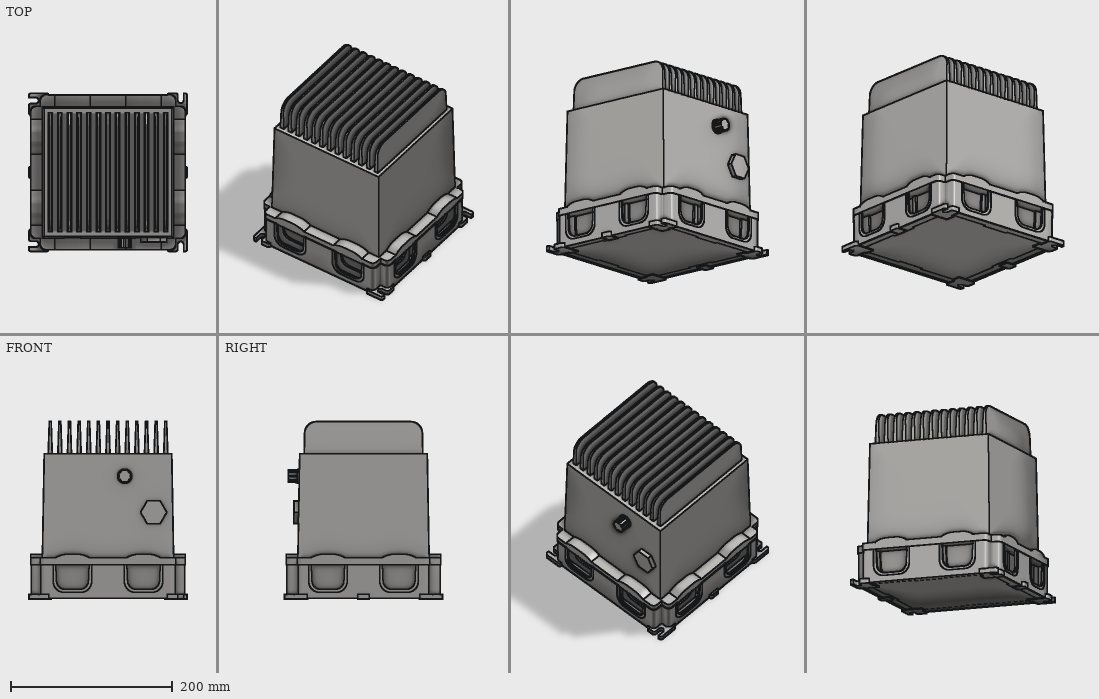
import cadquery as cq
import math

TOTAL_HEIGHT = 220.0
FLOOR_BOTTOM = 1.0
JOINT_LEVEL = 42.5
FLANGE_TOP = 51.0
BUMP_RISE = 4.6
SHELL_TOP = 180.2

SHELL_TOP_WIDTH = 158.2
DRAFT = 1.0
FIN_COUNT = 13
FIN_SPAN = 143.0
FIN_LENGTH = 147.0
FIN_THICKNESS = 5.3
FIN_DRAFT = 2.0
FIN_CORNER_RADIUS = 15.0

FLANGE_HALF = 96.0
Y_ARM_HALF_WIDTH = 84.0
X_ARM_HALF_WIDTH = 81.8
ARM_CORNER_RADIUS = 6.4
BUMP_OFFSET = 44.0
BUMP_HALF_WIDTH = 21.8
CREST_HALF_WIDTH = 5.7

BASE_INSET = 0.9
WALL = 2.9
CORE_HALF = 82.0
FLOOR_THICKNESS = 0.9
CORE_RELIEF_WIDTH = 36.0
CORE_RELIEF_DEPTH = 2.9

RECESS_HALF_WIDTH = 23.8
RECESS_BOTTOM = 8.5
RECESS_RADIUS = 13.2
RECESS_DEPTH = 0.5
OPENING_HALF_WIDTH = 20.7
OPENING_BOTTOM = 12.0
OPENING_RADIUS = 11.0
OPENING_DRAFT = 2.5
CORE_POCKET_DEPTH = 2.9

FOOT_SPAN = 196.0
FOOT_REACH = FOOT_SPAN / 2
FOOT_HEIGHT = 6.0
FOOT_END_X = 73.5
FOOT_END_Y = 69.3
FOOT_END_X_RADIUS = 2.9
FOOT_END_Y_RADIUS = 5.0
FOOT_CORNER_RADIUS = 2.9
X_SLOT_OFFSET = 88.9
Y_SLOT_OFFSET = 90.0
FOOT_SLOT_WIDTH = 7.0
FOOT_SLOT_END = 85.8
PAD_END_X = 70.2
SIDE_TAB_WIDTH = 14.7

KNOB_X = 20.7
KNOB_Z = 152.2
COLLAR_RADIUS = 8.8
COLLAR_LENGTH = 2.2
KNOB_RADIUS = 8.0
KNOB_LENGTH = 13.6
GRIP_GROOVE_COUNT = 8
GRIP_GROOVE_WIDTH = 2.0
GRIP_GROOVE_DEPTH = 0.9
PLUG_X = 56.5
PLUG_Z = 107.5
PLUG_ACROSS_FLATS = 28.2
PLUG_LENGTH = 6.0

SLOPE = math.tan(math.radians(DRAFT))
SHELL_BOTTOM_WIDTH = SHELL_TOP_WIDTH + 2 * (SHELL_TOP - FLANGE_TOP) * SLOPE
BASE_HALF = FLANGE_HALF - BASE_INSET
QUARTER_TURNS = (0, 90, 180, 270)
Z_AXIS = ((0, 0, 0), (0, 0, 1))


def bumpy_bar(half_width):
    """Bar along Y with a flat underside and two round-shouldered bumps along its top."""
    crest = FLANGE_TOP + BUMP_RISE
    run = BUMP_HALF_WIDTH - CREST_HALF_WIDTH
    radius = (run ** 2 + BUMP_RISE ** 2) / (2 * BUMP_RISE)
    half_angle = math.asin(run / radius) / 2
    mid_x = CREST_HALF_WIDTH + radius * math.sin(half_angle)
    mid_z = crest - radius * (1 - math.cos(half_angle))

    outline = cq.Workplane("XZ", origin=(0, FLANGE_HALF, 0)).moveTo(-half_width, JOINT_LEVEL)
    outline = outline.lineTo(-half_width, FLANGE_TOP)
    for centre in (-BUMP_OFFSET, BUMP_OFFSET):
        outline = outline.lineTo(centre - BUMP_HALF_WIDTH, FLANGE_TOP)
        outline = outline.threePointArc((centre - mid_x, mid_z), (centre - CREST_HALF_WIDTH, crest))
        outline = outline.lineTo(centre + CREST_HALF_WIDTH, crest)
        outline = outline.threePointArc((centre + mid_x, mid_z), (centre + BUMP_HALF_WIDTH, FLANGE_TOP))
    outline = outline.lineTo(half_width, FLANGE_TOP).lineTo(half_width, JOINT_LEVEL).close()
    return outline.extrude(2 * FLANGE_HALF).edges("|Z").fillet(ARM_CORNER_RADIUS)


def fin():
    """One fin on the middle of the shell top, thinner and shorter towards its crest."""
    height = TOTAL_HEIGHT - SHELL_TOP
    foot_half = FIN_LENGTH / 2
    crest_half = foot_half - height * SLOPE
    plate = (
        cq.Workplane("YZ", origin=(-FIN_THICKNESS / 2, 0, 0))
        .polyline([
            (-foot_half, SHELL_TOP), (foot_half, SHELL_TOP),
            (crest_half, TOTAL_HEIGHT), (-crest_half, TOTAL_HEIGHT),
        ])
        .close()
        .extrude(FIN_THICKNESS)
        .edges("|X and >Z")
        .fillet(FIN_CORNER_RADIUS)
    )
    foot = FIN_THICKNESS / 2
    crest = foot - height * math.tan(math.radians(FIN_DRAFT))
    wedge = (
        cq.Workplane("XZ", origin=(0, foot_half, 0))
        .polyline([
            (-foot, SHELL_TOP), (foot, SHELL_TOP),
            (crest, TOTAL_HEIGHT), (-crest, TOTAL_HEIGHT),
        ])
        .close()
        .extrude(FIN_LENGTH)
    )
    return plate.intersect(wedge)


def make_cover():
    shell = (
        cq.Workplane("XY", origin=(0, 0, FLANGE_TOP))
        .rect(SHELL_BOTTOM_WIDTH, SHELL_BOTTOM_WIDTH)
        .extrude(SHELL_TOP - FLANGE_TOP, taper=DRAFT)
    )
    body = bumpy_bar(Y_ARM_HALF_WIDTH)
    body = body.union(bumpy_bar(X_ARM_HALF_WIDTH).rotate(*Z_AXIS, 90))
    body = body.union(shell)
    pitch = FIN_SPAN / (FIN_COUNT - 1)
    single_fin = fin()
    for index in range(FIN_COUNT):
        body = body.union(single_fin.translate((index * pitch - FIN_SPAN / 2, 0, 0)))
    return body


def centred_block(size_x, size_y, bottom, top):
    return (
        cq.Workplane("XY", origin=(0, 0, bottom))
        .rect(size_x, size_y)
        .extrude(top - bottom)
    )


def base_arms():
    """Solid cross of the base, a rounded inward offset of the flange outline."""
    radius = ARM_CORNER_RADIUS - BASE_INSET
    y_width = 2 * (Y_ARM_HALF_WIDTH - BASE_INSET)
    x_width = 2 * (X_ARM_HALF_WIDTH - BASE_INSET)
    y_arms = centred_block(y_width, 2 * BASE_HALF, FLOOR_BOTTOM, JOINT_LEVEL)
    x_arms = centred_block(2 * BASE_HALF, x_width, FLOOR_BOTTOM, JOINT_LEVEL)
    cross = y_arms.edges("|Z").fillet(radius).union(x_arms.edges("|Z").fillet(radius))
    for sign_x in (-1, 1):
        for sign_y in (-1, 1):
            notch = (sign_x * y_width / 2, sign_y * x_width / 2, (FLOOR_BOTTOM + JOINT_LEVEL) / 2)
            notch_edge = cross.edges("|Z").edges(cq.selectors.NearestToPointSelector(notch))
            cross = notch_edge.fillet(BASE_INSET)
    return cross


def wall_cavities():
    """Gaps between the core and the outer walls, open at the joint."""
    floor_top = FLOOR_BOTTOM + FLOOR_THICKNESS
    depth = BASE_HALF - WALL - CORE_HALF
    offset = CORE_HALF + depth / 2
    y_length = 2 * (Y_ARM_HALF_WIDTH - BASE_INSET - WALL)
    x_length = 2 * (X_ARM_HALF_WIDTH - BASE_INSET - WALL)
    y_gap = centred_block(y_length, depth, floor_top, JOINT_LEVEL)
    x_gap = centred_block(depth, x_length, floor_top, JOINT_LEVEL)
    gaps = y_gap.translate((0, offset, 0)).union(y_gap.translate((0, -offset, 0)))
    return gaps.union(x_gap.translate((offset, 0, 0))).union(x_gap.translate((-offset, 0, 0)))


def u_cutter(half_width, bottom, radius, draft, depth):
    """U-shaped prism cut into the -Y wall from its outer face, open at the joint."""
    bottom_half = half_width - (JOINT_LEVEL - bottom) * math.tan(math.radians(draft))
    return (
        cq.Workplane("XZ", origin=(0, depth - BASE_HALF, 0))
        .polyline([
            (-half_width, JOINT_LEVEL), (-bottom_half, bottom),
            (bottom_half, bottom), (half_width, JOINT_LEVEL),
        ])
        .close()
        .extrude(depth)
        .edges("|Y and <Z")
        .fillet(radius)
    )


def core_relief():
    """Cutter that sets back the middle of the core's -Y side, inside the wall cavity."""
    block = centred_block(CORE_RELIEF_WIDTH, CORE_RELIEF_DEPTH, FLOOR_BOTTOM + FLOOR_THICKNESS, JOINT_LEVEL)
    return block.translate((0, CORE_RELIEF_DEPTH / 2 - CORE_HALF, 0))


def knockout():
    """Cutter for the recess and for the opening through the wall into the core."""
    opening_depth = BASE_HALF - CORE_HALF + CORE_POCKET_DEPTH
    recess = u_cutter(RECESS_HALF_WIDTH, RECESS_BOTTOM, RECESS_RADIUS, 0, RECESS_DEPTH)
    opening = u_cutter(OPENING_HALF_WIDTH, OPENING_BOTTOM, OPENING_RADIUS, OPENING_DRAFT, opening_depth)
    return recess.union(opening)


def foot(sign_x, sign_y, slot_along_x):
    """Corner foot with a round-ended slot that opens outwards along X or along Y."""
    outer = cq.Workplane("XY").moveTo(sign_x * FOOT_END_X, sign_y * FOOT_END_Y)
    outer = outer.lineTo(sign_x * FOOT_REACH, sign_y * FOOT_END_Y)
    outer = outer.lineTo(sign_x * FOOT_REACH, sign_y * FOOT_REACH)
    body = outer.lineTo(sign_x * FOOT_END_X, sign_y * FOOT_REACH).close().extrude(FOOT_HEIGHT)

    slot_length = 2 * (FOOT_REACH - FOOT_SLOT_END)
    if slot_along_x:
        slot_x, slot_y, slot_angle = FOOT_REACH, X_SLOT_OFFSET, 0
        lip = (FOOT_REACH, X_SLOT_OFFSET - FOOT_SLOT_WIDTH / 2)
    else:
        slot_x, slot_y, slot_angle = Y_SLOT_OFFSET, FOOT_REACH, 90
        lip = (Y_SLOT_OFFSET - FOOT_SLOT_WIDTH / 2, FOOT_REACH)
    slot = (
        cq.Workplane("XY", origin=(sign_x * slot_x, sign_y * slot_y, 0))
        .slot2D(slot_length, FOOT_SLOT_WIDTH, slot_angle)
        .extrude(FOOT_HEIGHT)
    )
    body = body.cut(slot)

    rounded_corners = (
        ((FOOT_END_X, FOOT_REACH), FOOT_END_X_RADIUS),
        ((FOOT_REACH, FOOT_END_Y), FOOT_END_Y_RADIUS),
        ((FOOT_REACH, FOOT_REACH), FOOT_CORNER_RADIUS),
        (lip, FOOT_CORNER_RADIUS),
    )
    for (x, y), radius in rounded_corners:
        corner = cq.selectors.NearestToPointSelector((sign_x * x, sign_y * y, FOOT_HEIGHT / 2))
        body = body.edges("|Z").edges(corner).fillet(radius)
    return body


def foot_pad(sign_x, sign_y):
    """Thin pad that carries the floor above each foot."""
    size_x = BASE_HALF - PAD_END_X
    size_y = X_ARM_HALF_WIDTH - FOOT_END_Y
    pad = centred_block(size_x, size_y, 0, FLOOR_BOTTOM)
    return pad.translate((sign_x * (PAD_END_X + size_x / 2), sign_y * (FOOT_END_Y + size_y / 2), 0))


def side_tabs():
    """Round-cornered tabs at the foot of the +X and -X walls, reaching in to the core."""
    tab = centred_block(FOOT_SPAN, SIDE_TAB_WIDTH, 0, FOOT_HEIGHT)
    tab = tab.edges("|Z").fillet(FOOT_CORNER_RADIUS)
    inner = centred_block(2 * CORE_HALF, SIDE_TAB_WIDTH, 0, FOOT_HEIGHT)
    return tab.cut(inner)


def make_base():
    body = base_arms().union(side_tabs())
    for sign_x in (-1, 1):
        for sign_y in (-1, 1):
            body = body.union(foot(sign_x, sign_y, slot_along_x=sign_x < 0))
            body = body.union(foot_pad(sign_x, sign_y))
    body = body.cut(wall_cavities())
    relief = core_relief()
    cutter = knockout()
    for angle in QUARTER_TURNS:
        body = body.cut(relief.rotate(*Z_AXIS, angle))
        for offset in (-BUMP_OFFSET, BUMP_OFFSET):
            body = body.cut(cutter.translate((offset, 0, 0)).rotate(*Z_AXIS, angle))
    return body


def wall_plane(x, z):
    """Plane on the drafted -Y wall of the shell, facing outwards."""
    wall_y = -SHELL_TOP_WIDTH / 2 - (SHELL_TOP - z) * SLOPE
    outward = (0, -1, SLOPE)
    return cq.Plane(origin=(x, wall_y, z), xDir=(1, 0, 0), normal=outward)


def make_knob():
    plane = wall_plane(KNOB_X, KNOB_Z)
    collar = cq.Workplane(plane).circle(COLLAR_RADIUS).extrude(COLLAR_LENGTH)
    grip = cq.Workplane(plane).circle(KNOB_RADIUS).extrude(KNOB_LENGTH)
    grooves = (
        cq.Workplane(plane)
        .workplane(offset=COLLAR_LENGTH)
        .polarArray(KNOB_RADIUS, 0, 360, GRIP_GROOVE_COUNT)
        .rect(2 * GRIP_GROOVE_DEPTH, GRIP_GROOVE_WIDTH)
        .extrude(KNOB_LENGTH - COLLAR_LENGTH)
    )
    return collar.union(grip.cut(grooves))


def make_plug():
    corner_diameter = PLUG_ACROSS_FLATS / math.cos(math.pi / 6)
    return cq.Workplane(wall_plane(PLUG_X, PLUG_Z)).polygon(6, corner_diameter).extrude(PLUG_LENGTH)


cover = make_cover()
base = make_base()
knob = make_knob()
plug = make_plug()

result = cq.Compound.makeCompound([cover.val(), base.val(), knob.val(), plug.val()])